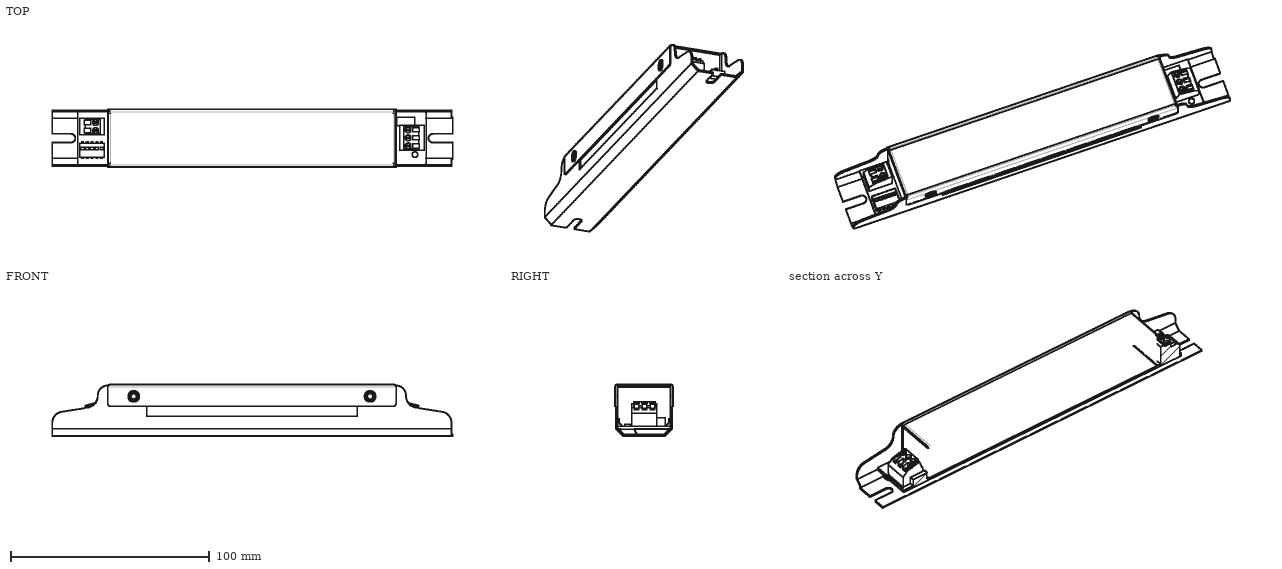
import cadquery as cq
import math

length = 201.4
lip = 0.6
height = 26.0
cover_width = 29.3
sheet = 0.5
channel_sheet = 0.8
channel_width = cover_width - 2 * sheet
inner_width = channel_width - 2 * channel_sheet

bevel = 3.6
end_height = 6.0
tip_run = 5.0
tip_height = 12.3
ramp_end = 84.0
ramp_height = 14.1
neck = 77.8
neck_height = 20.2
slot_width = 4.2
slot_end = 89.0

window_length = 106.3
window_bottom = 9.9
liner_bottom = 8.7
liner_sheet = 0.8

cover_length = 145.5
cover_bottom = 15.0
cover_corner = 1.6
cover_edge = 1.31
end_wall_chamfer = 1.6

rivet_x = 59.5
rivet_z = 20.0
rivet_diameter = 5.7
rivet_hole_diameter = 2.8
rivet_recess = 0.5
rivet_countersink = 0.6

board_length = 175.7
board_bottom = 3.5
board_top = 5.0

terminal_length = 12.3
terminal_back = 74.5
terminal_top = 16.4
terminal_shoulder = 11.5
terminal_front_run = 2.8
terminal_back_run = 2.0
terminal_margin = 0.2
pole_pitch = 4.0
pad_thickness = 1.0
pad_margin = 0.8
screw_diameter = 2.8
screw_offset = 4.2
screw_floor = 15.4
screw_slot_width = 0.6
screw_slot_depth = 0.6
wire_length = 3.2
wire_width = 2.2
wire_floor = 13.1
wire_offset = 8.3
two_pole_y = 5.9
two_pole_back_height = terminal_top
three_pole_y = 0.2
three_pole_back_height = 11.5

connector_x = -80.5
connector_y = -6.0
connector_length = 12.5
connector_width = 7.0
connector_top = 9.0
contact_count = 5
contact_pitch = 2.5
contact_length = 1.6
contact_width = 1.2
contact_y = -5.3
contact_top = 10.3
leg_width = 0.8
leg_reach = 0.6
leg_top = 7.3

component_start = 73.1
component_length = 9.0
component_width = 4.2
component_y = 8.5
component_top = 9.0

earth_x = 82.2
earth_y = -8.3
earth_base_radius = 5.3
earth_top_radius = 3.5
earth_pin_diameter = 2.8
earth_pin_top = 5.9


def block(x_start, x_size, y_centre, y_size, bottom, top):
    """Box given by its -X face, its Y centre and its two levels."""
    return (
        cq.Workplane("XY", origin=(x_start + x_size / 2, y_centre, bottom))
        .rect(x_size, y_size)
        .extrude(top - bottom)
    )


def channel_solid(inset):
    """Bevelled bar whose faces all lie the given distance inside the channel."""
    wall = channel_width / 2 - inset
    floor = channel_width / 2 - bevel - inset * math.tan(math.pi / 8)
    shoulder = inset + wall - floor
    return (
        cq.Workplane("YZ")
        .polyline([(-floor, inset), (floor, inset), (wall, shoulder), (wall, height),
                   (-wall, height), (-wall, shoulder)])
        .close()
        .extrude(length / 2, both=True)
    )


def quarter_arc_middle(vertical_end, level_end):
    """Middle of a quarter arc that is vertical at its first end and level at its second."""
    x_share = 1 - math.cos(math.pi / 4)
    z_share = math.sin(math.pi / 4)
    x = vertical_end[0] + x_share * (level_end[0] - vertical_end[0])
    z = vertical_end[1] + z_share * (level_end[1] - vertical_end[1])
    return (x, z)


def side_outline():
    """X-Z outline of the side walls, with scalloped ends."""
    half = length / 2
    cover_half = cover_length / 2
    top = height - sheet
    tip_mid = quarter_arc_middle((half, end_height), (half - tip_run, tip_height))
    concave_mid = quarter_arc_middle((neck, neck_height), (ramp_end, ramp_height))
    convex_mid = quarter_arc_middle((neck, neck_height), (cover_half, top))
    return (
        cq.Workplane("XZ")
        .moveTo(-half, 0)
        .lineTo(half, 0)
        .lineTo(half, end_height)
        .threePointArc(tip_mid, (half - tip_run, tip_height))
        .lineTo(ramp_end, ramp_height)
        .threePointArc(concave_mid, (neck, neck_height))
        .threePointArc(convex_mid, (cover_half, top))
        .lineTo(-cover_half, top)
        .threePointArc((-convex_mid[0], convex_mid[1]), (-neck, neck_height))
        .threePointArc((-concave_mid[0], concave_mid[1]), (-ramp_end, ramp_height))
        .lineTo(tip_run - half, tip_height)
        .threePointArc((-tip_mid[0], tip_mid[1]), (-half, end_height))
        .close()
        .extrude(channel_width, both=True)
    )


def make_channel():
    """Bevelled sheet channel with open mounting slots and a window in each side."""
    channel = channel_solid(0).cut(channel_solid(channel_sheet))
    channel = channel.intersect(side_outline())
    floor_width = channel_width - 2 * bevel
    channel = channel.union(block(length / 2 - lip, 2 * lip, 0, floor_width, 0, channel_sheet))
    slot_length = length - slot_end
    slot_centre = slot_end + slot_length / 2
    slots = (
        cq.Workplane("XY")
        .pushPoints([(-slot_centre, 0), (slot_centre, 0)])
        .slot2D(slot_length, slot_width)
        .extrude(channel_sheet)
    )
    channel = channel.cut(slots)
    window_top = cover_bottom + sheet
    window = block(-window_length / 2, window_length, 0, cover_width, window_bottom, window_top)
    return channel.cut(window)


def make_liner():
    """Inner strips that close the side windows from behind."""
    outer = block(-cover_length / 2, cover_length, 0, inner_width, liner_bottom, height - sheet)
    inner = block(-cover_length / 2, cover_length, 0, inner_width - 2 * liner_sheet,
                  liner_bottom, height - sheet)
    return outer.cut(inner)


def make_cover():
    """Open box with rounded top edges, two long flanks and two full-height end walls."""
    half = cover_length / 2
    shell = (
        block(-half, cover_length, 0, cover_width, cover_bottom, height)
        .faces(">Z").edges().fillet(cover_edge)
        .edges("|Y and <Z").fillet(cover_corner)
    )
    cavity = block(-half, cover_length, 0, channel_width, cover_bottom, height - sheet)
    shell = shell.cut(cavity)
    wall_half = inner_width / 2
    leg_half = wall_half - liner_sheet
    end_wall = (
        cq.Workplane("YZ")
        .moveTo(-wall_half, height - cover_edge)
        .lineTo(-wall_half, liner_bottom)
        .lineTo(-leg_half, liner_bottom)
        .lineTo(-leg_half, board_top + end_wall_chamfer)
        .lineTo(end_wall_chamfer - leg_half, board_top)
        .lineTo(leg_half - end_wall_chamfer, board_top)
        .lineTo(leg_half, board_top + end_wall_chamfer)
        .lineTo(leg_half, liner_bottom)
        .lineTo(wall_half, liner_bottom)
        .lineTo(wall_half, height - cover_edge)
        .close()
        .extrude(sheet)
    )
    return shell.union(end_wall.translate((-half, 0, 0))).union(end_wall.translate((half - sheet, 0, 0)))


def make_terminal(poles, y_centre, back_height):
    """Terminal block facing +X; its sloping raised pad has a screw and a wire opening per pole."""
    width = poles * pole_pitch + 2 * terminal_margin
    front = terminal_back + terminal_length
    pad_front = front - terminal_front_run
    pad_back = terminal_back + terminal_back_run
    pad_base = terminal_shoulder + terminal_front_run
    body = (
        cq.Workplane("XZ", origin=(0, y_centre, 0))
        .polyline([(terminal_back, board_top), (front, board_top), (front, terminal_shoulder),
                   (pad_front, pad_base), (pad_back, terminal_top), (terminal_back, back_height)])
        .close()
        .extrude(width / 2, both=True)
    )
    pad = (
        cq.Workplane("XZ", origin=(0, y_centre, 0))
        .polyline([(pad_front, pad_base), (pad_front, pad_base + pad_thickness),
                   (pad_back, terminal_top + pad_thickness), (pad_back, terminal_top)])
        .close()
        .extrude(width / 2 - pad_margin, both=True)
    )
    body = body.union(pad)
    screw_x = terminal_back + screw_offset
    wire_x = terminal_back + wire_offset
    pad_top = terminal_top + pad_thickness
    for pole in range(poles):
        y = y_centre + (pole - (poles - 1) / 2) * pole_pitch
        screw = (
            cq.Workplane("XY", origin=(screw_x, y, screw_floor))
            .circle(screw_diameter / 2)
            .extrude(pad_top - screw_floor)
        )
        slot = block(screw_x - screw_diameter / 2, screw_diameter, y, screw_slot_width,
                     screw_floor - screw_slot_depth, pad_top)
        wire = block(wire_x - wire_length / 2, wire_length, y, wire_width, wire_floor, pad_top)
        body = body.cut(screw).cut(slot).cut(wire)
    return body


def make_connector():
    """Low connector with a row of contacts on top and a leg beside each of them."""
    start = connector_x - connector_length / 2
    connector = block(start, connector_length, connector_y, connector_width, board_top, connector_top)
    for index in range(contact_count):
        x = connector_x + (index - (contact_count - 1) / 2) * contact_pitch
        contact = block(x - contact_length / 2, contact_length, contact_y, contact_width,
                        connector_top, contact_top)
        leg = block(x - leg_width / 2, leg_width, connector_y, connector_width + 2 * leg_reach,
                    board_top, leg_top)
        connector = connector.union(contact).union(leg)
    return connector


def make_earth_screw():
    """Cone under the board, trimmed flush with the channel, and a pin through the board."""
    foot = cq.Vector(earth_x, earth_y, 0)
    cone = cq.Workplane(cq.Solid.makeCone(earth_base_radius, earth_top_radius, board_bottom, foot))
    cone = cone.intersect(channel_solid(0))
    pin = (
        cq.Workplane("XY", origin=(earth_x, earth_y, board_bottom))
        .circle(earth_pin_diameter / 2)
        .extrude(earth_pin_top - board_bottom)
    )
    return cone.union(pin)


def cut_rivets(part):
    """Shallow recess with a countersunk hole, twice in each flank."""
    recess_floor = cover_width / 2 - rivet_recess
    hole_radius = rivet_hole_diameter / 2
    depth = (cover_width - inner_width) / 2
    for side in (-1, 1):
        inward = cq.Vector(0, -side, 0)
        for x in (-rivet_x, rivet_x):
            recess = cq.Solid.makeCylinder(
                rivet_diameter / 2, rivet_recess, cq.Vector(x, side * cover_width / 2, rivet_z), inward)
            countersink = cq.Solid.makeCone(
                hole_radius + rivet_countersink, hole_radius, rivet_countersink,
                cq.Vector(x, side * recess_floor, rivet_z), inward)
            hole = cq.Solid.makeCylinder(
                hole_radius, depth, cq.Vector(x, side * cover_width / 2, rivet_z), inward)
            part = part.cut(cq.Workplane(recess)).cut(cq.Workplane(countersink)).cut(cq.Workplane(hole))
    return part


board = block(-board_length / 2, board_length, 0, inner_width, board_bottom, board_top)
component = block(component_start, component_length, component_y, component_width, board_top, component_top)
two_pole_terminal = make_terminal(2, two_pole_y, two_pole_back_height).mirror("YZ")
three_pole_terminal = make_terminal(3, three_pole_y, three_pole_back_height)

result = make_channel()
for piece in (make_liner(), make_cover(), board, component, two_pole_terminal,
              three_pole_terminal, make_connector(), make_earth_screw()):
    result = result.union(piece)

result = cut_rivets(result)